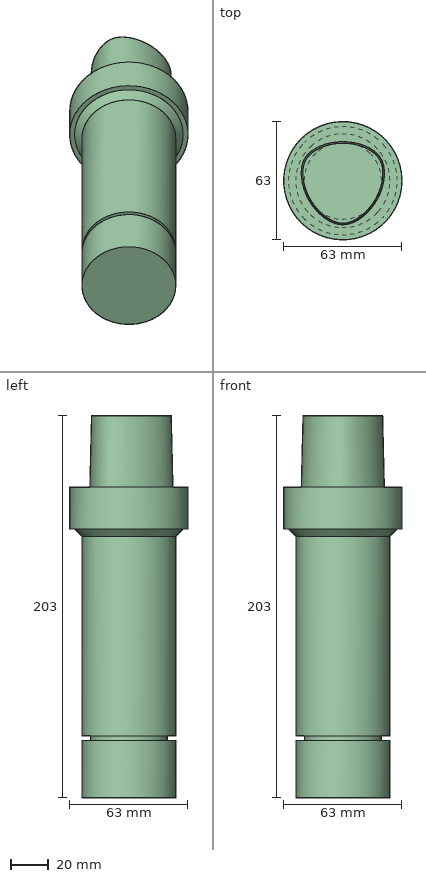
import cadquery as cq
import math

total_height = 203.0
head_height = 30.5
groove_width = 2.5
polygon_height = 38.0
flange_height = 22.3

shank_diameter = 50.0
neck_diameter = 41.0
flange_diameter = 63.0
cone_top_diameter = 57.7
cone_height = (cone_top_diameter - shank_diameter) / 2

polygon_top_width = 42.5
polygon_base_width = 44.3
lobe_amplitude = 1.32
lobe_count = 3
curve_samples = 48

shank_bottom = head_height + groove_width
polygon_bottom = total_height - polygon_height
flange_bottom = polygon_bottom - flange_height
cone_bottom = flange_bottom - cone_height


def lobed_point(width, angle):
    """Point of a constant-width three-lobed curve whose normal has the given angle."""
    phase = lobe_count * (angle + math.pi / 2)
    support = width / 2 + lobe_amplitude * math.cos(phase)
    slope = -lobe_count * lobe_amplitude * math.sin(phase)
    x = support * math.cos(angle) - slope * math.sin(angle)
    y = support * math.sin(angle) + slope * math.cos(angle)
    return x, y


def lobed_wire(width, z):
    """Closed smooth lobed outline at height z, with its seam at the -Y lobe."""
    angles = [-math.pi / 2 + 2 * math.pi * i / curve_samples for i in range(curve_samples)]
    points = [cq.Vector(*lobed_point(width, angle), z) for angle in angles]
    return cq.Wire.assembleEdges([cq.Edge.makeSpline(points, periodic=True)])


def make_adapter():
    """Round shank with a conical shoulder, a flange and a tapered polygon on top."""
    round_profile = [
        (0, shank_bottom),
        (shank_diameter / 2, shank_bottom),
        (shank_diameter / 2, cone_bottom),
        (cone_top_diameter / 2, flange_bottom),
        (flange_diameter / 2, flange_bottom),
        (flange_diameter / 2, polygon_bottom),
        (0, polygon_bottom),
    ]
    round_part = cq.Workplane("XZ").polyline(round_profile).close().revolve(360, (0, 0), (0, 1))
    polygon = cq.Solid.makeLoft(
        [
            lobed_wire(polygon_base_width, polygon_bottom),
            lobed_wire(polygon_top_width, total_height),
        ],
        True,
    )
    return round_part.union(cq.Workplane(obj=polygon))


def make_head():
    """Cylindrical head whose narrower neck meets the lower face of the shank."""
    head = cq.Workplane("XY").circle(shank_diameter / 2).extrude(head_height)
    return head.faces(">Z").workplane().circle(neck_diameter / 2).extrude(groove_width)


adapter = make_adapter()
head = make_head()
result = cq.Compound.makeCompound([adapter.val(), head.val()])